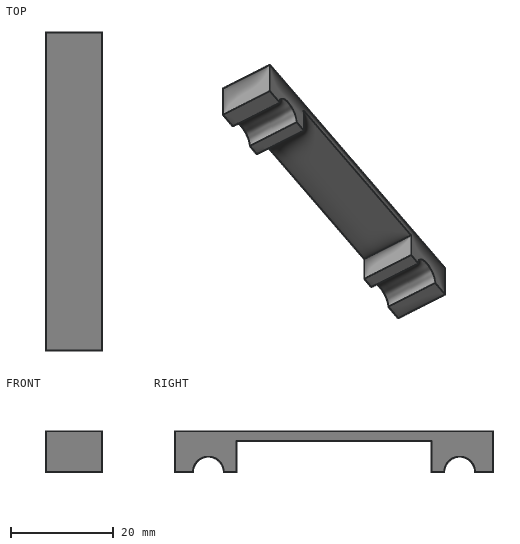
import cadquery as cq

width = 11.0
length = 62.0
height = 8.0

plate_thickness = 2.0
foot_length = 12.0
groove_radius = 3.0
groove_inset = 6.5

foot_gap = length - 2 * foot_length
foot_height = height - plate_thickness
groove_offset = length / 2 - groove_inset

bar = cq.Workplane("XY").box(width, length, height, centered=(True, True, False))

gap = cq.Workplane("XY").box(width, foot_gap, foot_height, centered=(True, True, False))

grooves = (
    cq.Workplane("YZ")
    .pushPoints([(-groove_offset, 0), (groove_offset, 0)])
    .circle(groove_radius)
    .extrude(width / 2, both=True)
)

result = bar.cut(gap).cut(grooves)